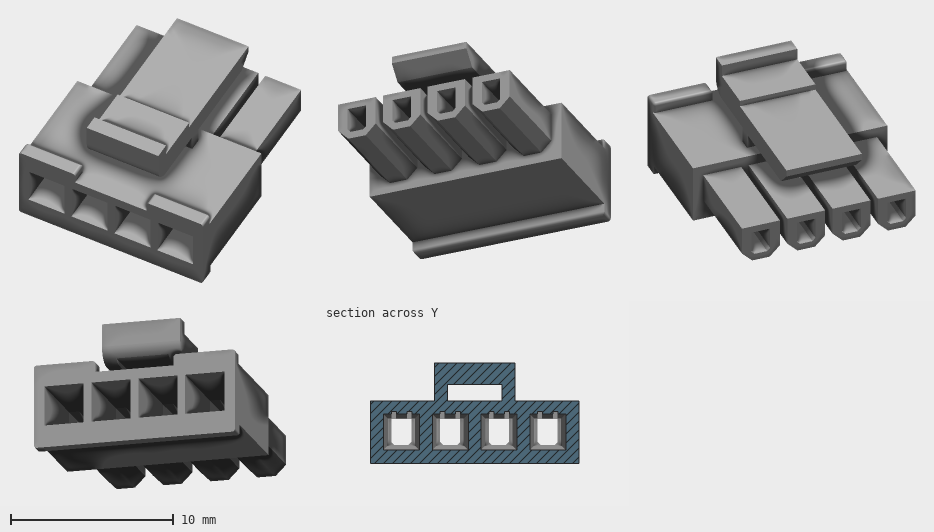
import cadquery as cq

length = 14.0
width = 12.85
flange_height = 5.29
flange_depth = 1.0
flange_round = 0.2
body_bottom = 0.73
body_top = 4.58
body_back = 7.59

circuit_count = 4
pitch = 3.0
tower_size = 2.5
tower_bottom = 1.4
tower_chamfer = 0.67
cavity_center_z = tower_bottom + tower_size / 2
pocket_depth = 5.6
funnel_inset = 0.42
funnel_depth = 1.8
bore_width = 1.23
bore_bottom = 1.85
bore_top = 3.46
bore_chamfer = 0.2
groove_width = 0.28

latch_width = 5.0
latch_front = 1.51
latch_back = 13.22
latch_top = 8.08
thumb_tab_back = 2.52
pad_back = 5.52
pad_top = 7.31
arm_top = 6.92
front_underside = 5.63
arm_underside = 5.57
latch_front_radius = 1.01
latch_tip_chamfer = 0.9
post_front = 5.91
post_back = 6.69
post_width = 0.84
channel_width = latch_width - 2 * post_width
channel_top = 5.91


def block(x_range, y_range, z_range):
    """Box spanning the given (low, high) limits on each axis."""
    size = [high - low for low, high in (x_range, y_range, z_range)]
    corner = (x_range[0], y_range[0], z_range[0])
    return cq.Workplane("XY").box(*size, centered=False).translate(corner)


def make_lower_flange():
    """Flange up to the body top, with rounded lower corners and lower rear edge."""
    blank = block((-width / 2, width / 2), (0, flange_depth), (0, body_top))
    end_rounded = blank.edges("|Y and <Z").fillet(flange_round)
    rear_rounded = blank.edges("|X and <Z and >Y").fillet(flange_round)
    return end_rounded.intersect(rear_rounded)


def make_ear():
    """Raised part at the -X end of the flange; its outer corner is rounded, its inner corner mitred."""
    blank = block((-width / 2, -latch_width / 2), (0, flange_depth), (body_top, flange_height))
    outer_rounded = (
        blank.edges("(|Y and <X and >Z) or (|X and >Y and >Z) or (|Z and <X and >Y)")
        .fillet(flange_round)
    )
    inner_rounded = blank.edges("|Y and >X and >Z").fillet(flange_round)
    return outer_rounded.intersect(inner_rounded)


def make_tower(x):
    """Square tower with both lower corners chamfered."""
    tower = block(
        (x - tower_size / 2, x + tower_size / 2),
        (body_back, length),
        (tower_bottom, tower_bottom + tower_size),
    )
    return tower.edges("|Y and <Z").chamfer(tower_chamfer)


def make_cavity(x):
    """Square pocket, funnel with two ceiling grooves, and a smaller bore to the tower end."""
    funnel_end = pocket_depth + funnel_depth
    pocket_top = tower_bottom + tower_size
    throat_size = tower_size - 2 * funnel_inset
    pocket = block(
        (x - tower_size / 2, x + tower_size / 2),
        (0, pocket_depth),
        (tower_bottom, pocket_top),
    )
    funnel = (
        cq.Workplane("XZ", origin=(x, pocket_depth, cavity_center_z))
        .rect(tower_size, tower_size)
        .workplane(offset=-funnel_depth)
        .rect(throat_size, throat_size)
        .loft(ruled=True)
    )
    bore = (
        block((x - bore_width / 2, x + bore_width / 2), (pocket_depth, length), (bore_bottom, bore_top))
        .edges("|Y and <Z")
        .chamfer(bore_chamfer)
    )
    cavity = pocket.union(funnel).union(bore)
    for groove_left in (x - bore_width / 2, x + bore_width / 2 - groove_width):
        groove = block(
            (groove_left, groove_left + groove_width),
            (pocket_depth, funnel_end),
            (cavity_center_z, pocket_top),
        )
        cavity = cavity.union(groove)
    return cavity


def make_latch():
    """Lever with thumb tab, stepped top, rounded front and a channel under its front part."""
    lever = (
        cq.Workplane("YZ", origin=(-latch_width / 2, 0, 0))
        .moveTo(latch_front, latch_top)
        .lineTo(thumb_tab_back, latch_top)
        .lineTo(thumb_tab_back, pad_top)
        .lineTo(pad_back, pad_top)
        .lineTo(pad_back, arm_top)
        .lineTo(latch_back, arm_top)
        .lineTo(latch_back, arm_underside + latch_tip_chamfer)
        .lineTo(latch_back - latch_tip_chamfer, arm_underside)
        .lineTo(post_front, arm_underside)
        .lineTo(post_front, front_underside)
        .lineTo(latch_front + latch_front_radius, front_underside)
        .radiusArc((latch_front, front_underside + latch_front_radius), latch_front_radius)
        .close()
        .extrude(latch_width)
    )
    channel = block(
        (-channel_width / 2, channel_width / 2),
        (latch_front, post_front),
        (body_top, channel_top),
    )
    return lever.cut(channel)


def make_post(side):
    """Post at one edge of the latch; side is -1 or +1."""
    post_x = side * (latch_width - post_width) / 2
    return block(
        (post_x - post_width / 2, post_x + post_width / 2),
        (post_front, post_back),
        (body_top, arm_underside),
    )


ear = make_ear()
body = block((-width / 2, width / 2), (0, body_back), (body_bottom, body_top))
result = body.union(make_lower_flange()).union(ear).union(ear.mirror("YZ")).union(make_latch())
for side in (-1, 1):
    result = result.union(make_post(side))
for index in range(circuit_count):
    tower_x = (index - (circuit_count - 1) / 2) * pitch
    result = result.union(make_tower(tower_x)).cut(make_cavity(tower_x))